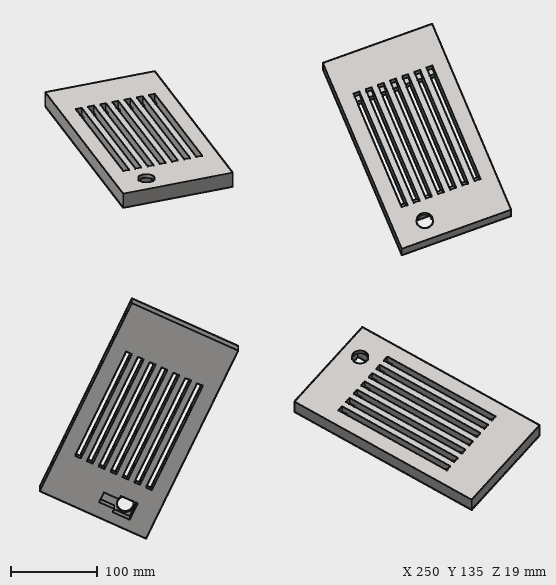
import cadquery as cq

length = 250.0
width = 135.0
thickness = 19.0

slot_count = 7
slot_pitch = 15.0
slot_width = 7.2
slot_length = 152.5
ledge_length = 7.0
ledge_depth = thickness / 2

hole_diameter = 19.0
hole_x = 101.5
hole_y = -30.0
skin_thickness = 5.0
recess_depth = thickness - skin_thickness
recess_side = 21.5
channel_width = 13.0
channel_end_y = 0.0


def box_from(bottom_z, size_x, size_y, height, center_x, center_y):
    """Upright block centered in X and Y, standing on bottom_z."""
    block = cq.Workplane("XY").box(size_x, size_y, height, centered=(True, True, False))
    return block.translate((center_x, center_y, bottom_z))


def slot_cutter(center_y):
    """Full-length upper slot over a shorter opening through the plate."""
    upper = box_from(thickness - ledge_depth, slot_length, slot_width, ledge_depth, 0, center_y)
    through = box_from(0, slot_length - 2 * ledge_length, slot_width, thickness, 0, center_y)
    return upper.union(through)


def hole_cutter():
    """Round hole with a square recess and a narrower channel below it."""
    hole = cq.Workplane("XY").center(hole_x, hole_y).circle(hole_diameter / 2).extrude(thickness)
    recess = box_from(0, recess_side, recess_side, recess_depth, hole_x, hole_y)
    channel_length = channel_end_y - hole_y
    channel_y = (channel_end_y + hole_y) / 2
    channel = box_from(0, channel_width, channel_length, recess_depth, hole_x, channel_y)
    return hole.union(recess).union(channel)


result = box_from(0, length, width, thickness, 0, 0)
for index in range(slot_count):
    slot_y = (index - (slot_count - 1) / 2) * slot_pitch
    result = result.cut(slot_cutter(slot_y))
result = result.cut(hole_cutter())